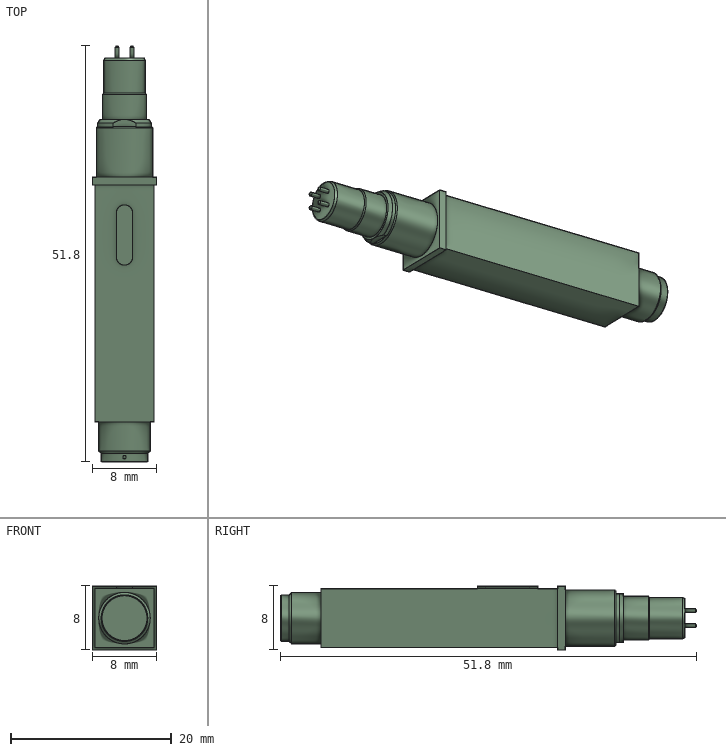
import cadquery as cq

total_length = 51.8

nose_radius = 3.2
nose_length = 5.0
nose_tip_radius = 2.9
nose_tip_length = 1.1
nose_shoulder_chamfer = nose_radius - nose_tip_radius
nose_tip_chamfer = 0.1
index_hole_diameter = 0.4
index_hole_depth = 0.2
index_hole_y = 0.6

body_side = 7.35
flange_side = 8.0
flange_thickness = 1.0
flange_end_y = 35.5
flange_start_y = flange_end_y - flange_thickness

key_length = 7.5
key_width = 2.0
key_center_y = 28.3
key_height = (flange_side - body_side) / 2

collar_radius = 3.5
collar_end_y = 41.8
collar_chamfer = 0.2
ring_radius = 3.35
ring_end_radius = 3.05
ring_end_y = 42.7
ring_taper_length = 0.45
ring_flat_height = 3.05
sleeve_radius = 2.75
sleeve_end_y = 45.95
plug_radius = 2.6
sleeve_chamfer = sleeve_radius - plug_radius
plug_end_y = 50.35
plug_chamfer_width = 0.15
plug_chamfer_length = 0.3

pin_diameter = 0.5
pin_pitch = 1.85
pin_chamfer = 0.15


def revolve_about_y(outline):
    """Turn (radius, y) points, starting and ending on the axis, into a solid about Y."""
    return cq.Workplane("XY").polyline(outline).close().revolve(360, (0, 0), (0, 1))


def square_bar(side, start_y, end_y):
    length = end_y - start_y
    return cq.Workplane("XY").box(side, length, side).translate((0, start_y + length / 2, 0))


def make_nose():
    nose = revolve_about_y([
        (0, 0),
        (nose_tip_radius - nose_tip_chamfer, 0),
        (nose_tip_radius, nose_tip_chamfer),
        (nose_tip_radius, nose_tip_length),
        (nose_radius, nose_tip_length + nose_shoulder_chamfer),
        (nose_radius, nose_length),
        (0, nose_length),
    ])
    index_hole = (
        cq.Workplane("XY", origin=(0, index_hole_y, nose_tip_radius - index_hole_depth))
        .circle(index_hole_diameter / 2)
        .extrude(2 * index_hole_depth)
    )
    return nose.cut(index_hole)


def make_key():
    return (
        cq.Workplane("XY", origin=(0, key_center_y, body_side / 2))
        .slot2D(key_length, key_width, 90)
        .extrude(key_height)
    )


def make_ring():
    """Tapered ring behind the sleeve, with flats on its top and bottom."""
    ring = revolve_about_y([
        (0, flange_end_y),
        (ring_radius, flange_end_y),
        (ring_radius, ring_end_y - ring_taper_length),
        (ring_end_radius, ring_end_y),
        (0, ring_end_y),
    ])
    length = ring_end_y - flange_end_y
    between_flats = (
        cq.Workplane("XY")
        .box(2 * ring_radius, length, 2 * ring_flat_height)
        .translate((0, flange_end_y + length / 2, 0))
    )
    return ring.intersect(between_flats)


def make_collar():
    return revolve_about_y([
        (0, flange_end_y),
        (collar_radius, flange_end_y),
        (collar_radius, collar_end_y - collar_chamfer),
        (collar_radius - collar_chamfer, collar_end_y),
        (0, collar_end_y),
    ])


def make_plug():
    """Sleeve and plug, the two narrow steps carrying the pins."""
    return revolve_about_y([
        (0, flange_end_y),
        (sleeve_radius, flange_end_y),
        (sleeve_radius, sleeve_end_y - sleeve_chamfer),
        (plug_radius, sleeve_end_y),
        (plug_radius, plug_end_y - plug_chamfer_length),
        (plug_radius - plug_chamfer_width, plug_end_y),
        (0, plug_end_y),
    ])


def make_pins():
    """Four chamfered pins in a square pattern, rooted in the plug."""
    return (
        cq.Workplane("XZ", origin=(0, sleeve_end_y, 0))
        .rect(pin_pitch, pin_pitch, forConstruction=True)
        .vertices()
        .circle(pin_diameter / 2)
        .extrude(sleeve_end_y - total_length)
        .faces(">Y")
        .chamfer(pin_chamfer)
    )


result = (
    square_bar(body_side, nose_length, flange_end_y)
    .union(square_bar(flange_side, flange_start_y, flange_end_y))
    .union(make_key())
    .union(make_nose())
    .union(make_collar())
    .union(make_ring())
    .union(make_plug())
    .union(make_pins())
)